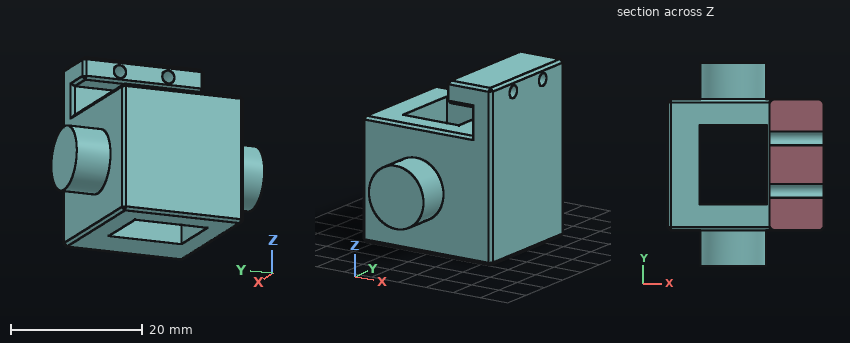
import cadquery as cq

overall_width = 23.78
overall_length = 31.0
overall_height = 28.12
block_size = 20.0
edge_chamfer = 0.5
block_offset = -0.05

arm_thickness = 3.72
lip_reach = 8.3
lip_thickness = 3.6
hole_diameter = 2.0
hole_spacing = 8.0
hole_drop = 1.85

pin_diameter = 10.0
pin_x = block_size / 2
pin_z = block_size / 2
window_width = 10.23
window_depth = 12.0

arm_x = overall_width - arm_thickness
lip_x = overall_width - lip_reach
lip_bottom = overall_height - lip_thickness


def make_body():
    """Extrude the hooked profile and chamfer everything but its two inner corners."""
    profile = [
        (0, 0),
        (overall_width, 0),
        (overall_width, overall_height),
        (lip_x, overall_height),
        (lip_x, lip_bottom),
        (arm_x, lip_bottom),
        (arm_x, block_size),
        (0, block_size),
    ]
    body = (
        cq.Workplane("XZ", origin=(0, block_offset, 0))
        .polyline(profile)
        .close()
        .extrude(block_size / 2, both=True)
    )
    margin = edge_chamfer / 2
    inner_corners = cq.selectors.BoxSelector(
        (arm_x - margin, block_offset - margin, block_size - margin),
        (arm_x + margin, block_offset + margin, lip_bottom + margin),
    )
    return body.edges(cq.selectors.InverseSelector(inner_corners)).chamfer(edge_chamfer)


def make_pins():
    """One cylinder along Y; its two ends stand out as the pins."""
    return (
        cq.Workplane("XZ")
        .center(pin_x, pin_z)
        .circle(pin_diameter / 2)
        .extrude(overall_length / 2, both=True)
    )


def make_window():
    """Rectangular opening through the full block height."""
    return (
        cq.Workplane("XY")
        .center(pin_x, block_offset)
        .rect(window_width, window_depth)
        .extrude(block_size)
    )


def make_hook_holes():
    """Two holes along X through the lip and arm."""
    return (
        cq.Workplane("YZ", origin=(lip_x, block_offset, overall_height - hole_drop))
        .pushPoints([(-hole_spacing / 2, 0), (hole_spacing / 2, 0)])
        .circle(hole_diameter / 2)
        .extrude(lip_reach)
    )


result = make_body().union(make_pins()).cut(make_window()).cut(make_hook_holes())